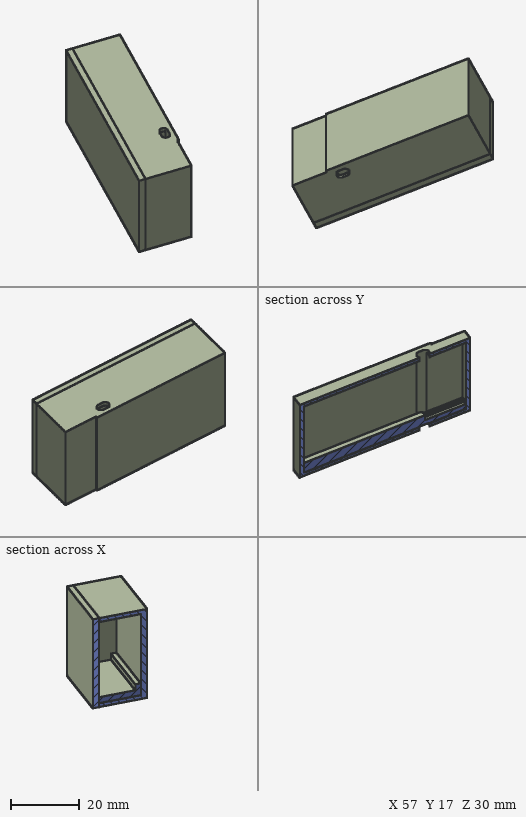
import cadquery as cq

LENGTH = 57.0
DEPTH = 17.0
HEIGHT = 30.0
COVER_THICKNESS = 2.0

WALL = 1.5
BACK_WALL = 1.95
BACK_RELIEF_START = 45.95
BACK_RELIEF_DEPTH = 0.5

SLOT_LENGTH = 4.0
SLOT_WIDTH = 2.5
SLOT_CENTER_X = 41.8
SLOT_CENTER_FROM_BACK = 2.85

PLATE_HEIGHT = 2.0
PAD_HEIGHT = 2.0
LEDGE_HEIGHT = PAD_HEIGHT / 2
PAD_END_X = 42.0
PAD_WIDTH = 1.7
PAD_BACK_GAP = 0.1
PAD_CHAMFER = 0.5
LEDGE_WIDTH = 0.8

CAVITY_LENGTH = LENGTH - 2 * WALL
CAVITY_BACK_Y = DEPTH - BACK_WALL
CAVITY_DEPTH = CAVITY_BACK_Y - COVER_THICKNESS
CAVITY_HEIGHT = HEIGHT - 2 * WALL
PLATE_TOP_Z = WALL + PLATE_HEIGHT
PAD_LENGTH = PAD_END_X - WALL
PAD_FRONT_Y = CAVITY_BACK_Y - PAD_BACK_GAP - PAD_WIDTH
LEDGE_FRONT_Y = CAVITY_BACK_Y - LEDGE_WIDTH
BACK_RELIEF_LENGTH = LENGTH - BACK_RELIEF_START


def corner_box(x, y, z, length, depth, height):
    """Box with its lowest corner at (x, y, z)."""
    return cq.Workplane("XY").box(length, depth, height, centered=False).translate((x, y, z))


def make_cover():
    """Flat plate that closes the front of the housing."""
    return corner_box(0, 0, 0, LENGTH, COVER_THICKNESS, HEIGHT)


def make_housing():
    """Hollow box with a relieved back face and a slot through its top and bottom walls."""
    body = corner_box(0, COVER_THICKNESS, 0, LENGTH, DEPTH - COVER_THICKNESS, HEIGHT)
    cavity = corner_box(WALL, COVER_THICKNESS, WALL, CAVITY_LENGTH, CAVITY_DEPTH, CAVITY_HEIGHT)
    relief = corner_box(
        BACK_RELIEF_START,
        DEPTH - BACK_RELIEF_DEPTH,
        0,
        BACK_RELIEF_LENGTH,
        BACK_RELIEF_DEPTH,
        HEIGHT,
    )
    slot = (
        cq.Workplane("XY")
        .center(SLOT_CENTER_X, DEPTH - SLOT_CENTER_FROM_BACK)
        .slot2D(SLOT_LENGTH, SLOT_WIDTH)
        .extrude(HEIGHT)
    )
    return body.cut(cavity).cut(relief).cut(slot)


def make_insert():
    """Plate that covers the cavity floor, with a raised pad and a lower ledge along its back edge."""
    plate = corner_box(WALL, COVER_THICKNESS, WALL, CAVITY_LENGTH, CAVITY_DEPTH, PLATE_HEIGHT)
    pad = corner_box(WALL, PAD_FRONT_Y, PLATE_TOP_Z, PAD_LENGTH, PAD_WIDTH, PAD_HEIGHT)
    pad = pad.edges("|Z and >X and >Y").chamfer(PAD_CHAMFER)
    ledge = corner_box(WALL, LEDGE_FRONT_Y, PLATE_TOP_Z, CAVITY_LENGTH, LEDGE_WIDTH, LEDGE_HEIGHT)
    return plate.union(ledge).union(pad)


cover = make_cover()
housing = make_housing()
insert = make_insert()

result = cq.Compound.makeCompound([cover.val(), housing.val(), insert.val()])